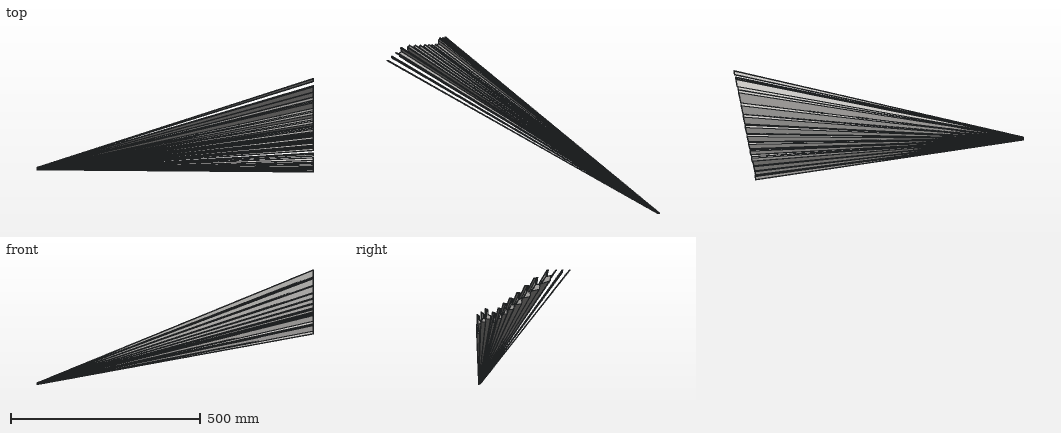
import cadquery as cq
import math

NEAR_X = 20.0
FAR_X = 750.0
ROOT_END_X = 40.0
CEILING_Z = 306.9

UPPER_FLIGHT = [
    (184.6, 309.0), (156.3, 286.4), (132.3, 266.1), (110.5, 246.3),
    (90.7, 231.4), (74.0, 217.5), (60.0, 204.3), (44.3, 192.7),
]
LOWER_FLIGHT = [(24.5, 201.5), (12.7, 192.0), (1.4, 185.4), (-0.5, 158.6)]
LOWER_FLIGHT_STEP = len(UPPER_FLIGHT) + 1

UPPER_FIRST_TREAD = 11.0
UPPER_TREAD_DROP = 1.5
LOWER_FIRST_TREAD = 7.5
LOWER_TREAD_DROP = 2.0
UPPER_POST_WIDTH = 3.5
LOWER_POST_WIDTH = 5.0
PLATE_THICKNESS = 2.0

PLATE_ANGLE = (8.3, -3.9)
POST_ANGLE = (78.7, 1.5)
SLOPE_ANGLE = (53.0, 1.2)
PLATE_LENGTH = (10.6, -0.3)
POST_HEIGHT = (19.0, -0.7)
RIGHT_SIDE_HEIGHT = (20.5, -0.3)
BASE_DEPTH = (14.0, -0.6)
LEAST_SLOPE = 7.5
EXTRA_SLOPE = 16.5
SLOPE_DECAY = 0.75

SLAT_THICKNESS = 1.2
OUTER_SLAT = [(240.4, CEILING_Z), (233.1, 298.2)]
INNER_SLAT = [(204.6, CEILING_Z), (191.4, 290.3)]

HOOK_TOP = (222.6, CEILING_Z)
HOOK_UPRIGHT_HEIGHT = 8.0
HOOK_UPRIGHT_WIDTH = 1.8
HOOK_UPRIGHT_ANGLE = 76.6
HOOK_TAIL_LENGTH = 21.5
HOOK_TAIL_ANGLE = 51.5

FIELD_MAX_Y = 300.0
FIELD_MIN_Y = -50.0


def step_from(point, angle, length):
    """Moves a point down and toward -Y along a direction given in degrees from +Y."""
    turn = math.radians(angle)
    return (point[0] - length * math.cos(turn), point[1] - length * math.sin(turn))


def at_step(value_and_change, step):
    value, change = value_and_change
    return value + change * step


def tapered(points, end_x=FAR_X):
    """Solid from the near plane to end_x, shaped as the far-plane outline shrunk toward the apex."""
    near = [cq.Vector(NEAR_X, y * NEAR_X / FAR_X, z * NEAR_X / FAR_X) for y, z in points]
    end = [corner * (end_x / NEAR_X) for corner in near]
    loops = [near, end]
    for i in range(len(points)):
        loops.append([near[i - 1], near[i], end[i], end[i - 1]])
    faces = [cq.Face.makeFromWires(cq.Wire.makePolygon(loop, close=True)) for loop in loops]
    return cq.Workplane(cq.Solid.makeSolid(cq.Shell.makeShell(faces)).fix())


def blade_corners(step, corner, tread_length, post_width):
    """Named corners of one blade in outline order, starting at the +Y end of its tread.

    A low tread leads to a post, which carries a plate overhanging toward -Y. Under the plate
    the post runs down to a slope. A plate that would sit at the ceiling is left out.
    """
    plate_angle = at_step(PLATE_ANGLE, step)
    post_angle = at_step(POST_ANGLE, step)
    slope_length = LEAST_SLOPE + EXTRA_SLOPE * SLOPE_DECAY**step

    post_foot = step_from(corner, post_angle, at_step(POST_HEIGHT, step))
    post_right = step_from(corner, plate_angle, post_width)
    slope_start = step_from(post_right, post_angle, at_step(RIGHT_SIDE_HEIGHT, step))

    corners = {}
    corners["tread_start"] = step_from(post_foot, plate_angle, -tread_length)
    corners["post_foot"] = post_foot
    corners["post_left"] = corner
    if corner[1] < CEILING_Z:
        plate_tip = step_from(corner, plate_angle, at_step(PLATE_LENGTH, step))
        corners["plate_tip"] = plate_tip
        corners["plate_tip_under"] = step_from(plate_tip, post_angle, PLATE_THICKNESS)
        corners["plate_root_under"] = step_from(post_right, post_angle, PLATE_THICKNESS)
    else:
        corners["post_right"] = post_right
    corners["slope_start"] = slope_start
    corners["slope_end"] = step_from(slope_start, at_step(SLOPE_ANGLE, step), slope_length)
    corners["base"] = step_from(corners["tread_start"], post_angle, at_step(BASE_DEPTH, step))
    return corners


def flight(post_corners, first_step, first_tread, tread_drop, post_width):
    """Corners of every blade of one flight, in step order."""
    return [
        blade_corners(first_step + i, corner, first_tread - i * tread_drop, post_width)
        for i, corner in enumerate(post_corners)
    ]


def slat_outline(upper, lower):
    """Strip between two points, thickened toward +Y."""
    return [
        upper,
        lower,
        (lower[0] + SLAT_THICKNESS, lower[1]),
        (upper[0] + SLAT_THICKNESS, upper[1]),
    ]


def hook_outline():
    """Upright with a pointed tail that runs down toward -Y."""
    left_foot = step_from(HOOK_TOP, HOOK_UPRIGHT_ANGLE, HOOK_UPRIGHT_HEIGHT)
    right_top = (HOOK_TOP[0] - HOOK_UPRIGHT_WIDTH, CEILING_Z)
    right_foot = step_from(right_top, HOOK_UPRIGHT_ANGLE, HOOK_UPRIGHT_HEIGHT)
    tail_end = step_from(right_foot, HOOK_TAIL_ANGLE, HOOK_TAIL_LENGTH)
    return [HOOK_TOP, left_foot, tail_end, right_foot, right_top]


def root_outline(blades, inner_slat):
    """Follows the inner slat and the tread starts, then returns along the blade bases."""
    first, last = blades[0], blades[-1]
    outline = inner_slat[:2]
    outline += [blade["tread_start"] for blade in blades[:-1]]
    outline += [last["slope_end"], last["base"], first["base"], inner_slat[3]]
    return outline


def make_fan():
    """Inner slat and all blades, joined by the root and trimmed at the ceiling."""
    blades = flight(UPPER_FLIGHT, 0, UPPER_FIRST_TREAD, UPPER_TREAD_DROP, UPPER_POST_WIDTH)
    blades += flight(
        LOWER_FLIGHT, LOWER_FLIGHT_STEP, LOWER_FIRST_TREAD, LOWER_TREAD_DROP, LOWER_POST_WIDTH
    )
    inner_slat = slat_outline(*INNER_SLAT)
    fan = tapered(root_outline(blades, inner_slat), ROOT_END_X).union(tapered(inner_slat))
    for blade in blades:
        fan = fan.union(tapered(list(blade.values())))
    below_ceiling = tapered([
        (FIELD_MAX_Y, 0), (FIELD_MAX_Y, CEILING_Z), (FIELD_MIN_Y, CEILING_Z), (FIELD_MIN_Y, 0),
    ])
    return fan.intersect(below_ceiling)


outer_slat = tapered(slat_outline(*OUTER_SLAT))
hook = tapered(hook_outline())
fan = make_fan()

result = cq.Compound.makeCompound([outer_slat.val(), hook.val(), *fan.vals()])